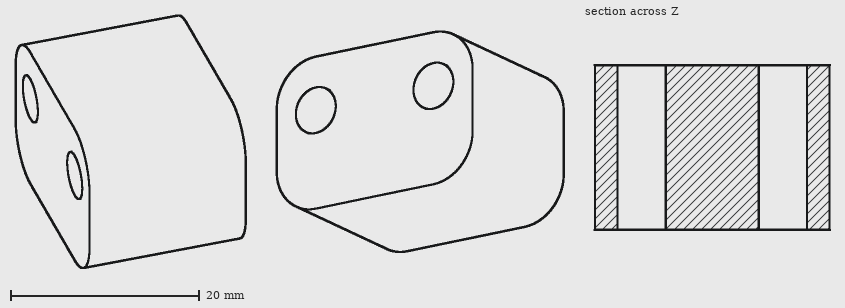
import cadquery as cq

width = 25.0
depth = 17.5
height = 17.0
corner_radius = 5.0

hole_diameter = 5.1
hole_drop = 6.0
hole_x = width / 2 - corner_radius
hole_z = height / 2 - hole_drop

block = cq.Workplane("XY").box(width, depth, height).edges("|Y").fillet(corner_radius)

holes = (
    cq.Workplane("XZ")
    .pushPoints([(-hole_x, hole_z), (hole_x, hole_z)])
    .circle(hole_diameter / 2)
    .extrude(depth / 2, both=True)
)

result = block.cut(holes)